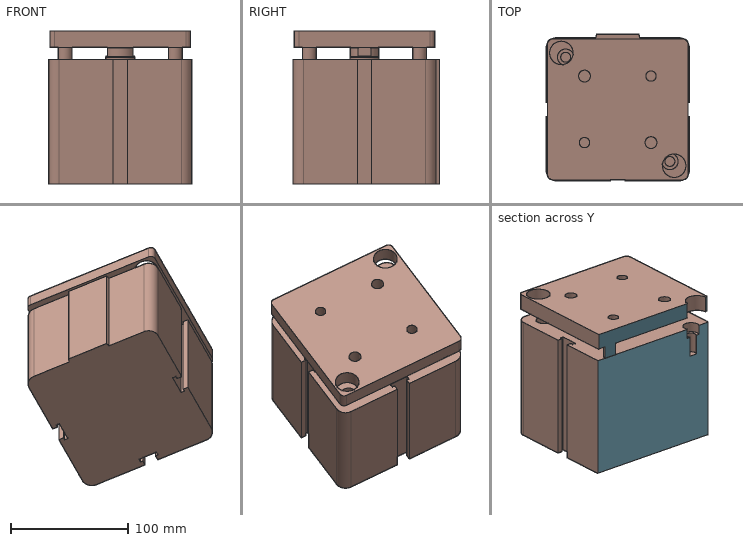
import cadquery as cq

total_height = 130.5
plate_thickness = 14.0
plate_gap = 10.3
plate_bottom = total_height - plate_thickness
housing_height = plate_bottom - plate_gap

housing_width = 122.0
housing_half = housing_width / 2
housing_corner_radius = 9.0
pad_width = 37.6
pad_projection = 3.0
pad_taper = 0.8

slot_width = 12.0
slot_lip = 4.5
slot_depth = 7.5
undercut_width = 16.5

mount_offset = 44.4
mount_diameter = 8.5
counterbore_diameter = 14.0
counterbore_depth = 8.5
mount_depth = 26.1

plate_width = 119.9
plate_corner_radius = 4.0
access_offset = 48.0
access_diameter = 20.0
pattern_offset = 28.3
dowel_diameter = 10.0
tapped_diameter = 8.7

guide_offset = 47.0
guide_diameter = 12.0
piston_diameter = 25.0
tip_diameter = 24.5
tip_length = 8.0
tip_chamfer = 0.5
shoulder_height = 0.5
flat_width = 22.0
flat_length = 7.5


def make_slot_cutter():
    """T-slot cutter for the -Y side, running the full housing height."""
    mouth = (
        cq.Workplane("XY")
        .box(slot_width, slot_depth, housing_height, centered=(True, False, False))
    )
    undercut = (
        cq.Workplane("XY")
        .box(undercut_width, slot_depth - slot_lip, housing_height, centered=(True, False, False))
        .translate((0, slot_lip, 0))
    )
    return mouth.union(undercut).translate((0, -housing_half, 0))


def make_pad():
    """Raised strip on the +Y side with tapered flanks; it is rooted inside the housing to fuse fully."""
    outer_y = housing_half + pad_projection
    root_y = housing_half - housing_corner_radius
    return (
        cq.Workplane("XY")
        .moveTo(-pad_width / 2, root_y)
        .lineTo(-pad_width / 2, housing_half)
        .lineTo(pad_taper - pad_width / 2, outer_y)
        .lineTo(pad_width / 2 - pad_taper, outer_y)
        .lineTo(pad_width / 2, housing_half)
        .lineTo(pad_width / 2, root_y)
        .close()
        .extrude(housing_height)
    )


def make_housing():
    block = (
        cq.Workplane("XY")
        .box(housing_width, housing_width, housing_height, centered=(True, True, False))
        .edges("|Z")
        .fillet(housing_corner_radius)
        .union(make_pad())
    )
    slot = make_slot_cutter()
    for angle in (-90, 0, 90):
        block = block.cut(slot.rotate((0, 0, 0), (0, 0, 1), angle))
    mount_points = [(-mount_offset, mount_offset), (mount_offset, -mount_offset)]
    for diameter, depth in ((counterbore_diameter, counterbore_depth), (mount_diameter, mount_depth)):
        block = (
            block.faces(">Z")
            .workplane(origin=(0, 0, 0))
            .pushPoints(mount_points)
            .hole(diameter, depth)
        )
    return block


def make_plate():
    """Square plate with two access holes, two dowel holes and two tapped holes."""
    plate = (
        cq.Workplane("XY", origin=(0, 0, plate_bottom))
        .box(plate_width, plate_width, plate_thickness, centered=(True, True, False))
        .edges("|Z")
        .fillet(plate_corner_radius)
    )
    hole_pairs = [
        (access_diameter, access_offset, -1),
        (dowel_diameter, pattern_offset, -1),
        (tapped_diameter, pattern_offset, 1),
    ]
    for diameter, offset, diagonal in hole_pairs:
        plate = (
            plate.faces(">Z")
            .workplane(origin=(0, 0, 0))
            .pushPoints([(offset, diagonal * offset), (-offset, -diagonal * offset)])
            .hole(diameter)
        )
    return plate


def make_guide_rods():
    return (
        cq.Workplane("XY", origin=(0, 0, housing_height))
        .pushPoints([(-guide_offset, -guide_offset), (guide_offset, guide_offset)])
        .circle(guide_diameter / 2)
        .extrude(plate_gap)
    )


def make_piston_rod():
    """Turned rod with a shouldered, chamfered tip and two wrench flats facing -X and +X."""
    tip_bottom = plate_bottom - tip_length
    piston_radius = piston_diameter / 2
    tip_radius = tip_diameter / 2
    rod = (
        cq.Workplane("XZ")
        .moveTo(0, housing_height)
        .lineTo(piston_radius, housing_height)
        .lineTo(piston_radius, tip_bottom - shoulder_height)
        .lineTo(tip_radius, tip_bottom)
        .lineTo(tip_radius, plate_bottom - tip_chamfer)
        .lineTo(tip_radius - tip_chamfer, plate_bottom)
        .lineTo(0, plate_bottom)
        .close()
        .revolve(360, (0, 0, 0), (0, 1, 0))
    )
    flat_side = (
        cq.Workplane("XY", origin=(0, 0, plate_bottom - flat_length))
        .box(piston_diameter, piston_diameter, flat_length, centered=(False, True, False))
        .translate((flat_width / 2, 0, 0))
    )
    return rod.cut(flat_side).cut(flat_side.mirror("YZ"))


def make_slide():
    """Moving body: the plate with its rods, which meet the top face of the housing."""
    return make_plate().union(make_guide_rods()).union(make_piston_rod())


housing = make_housing()
slide = make_slide()
result = cq.Compound.makeCompound([housing.val(), slide.val()])